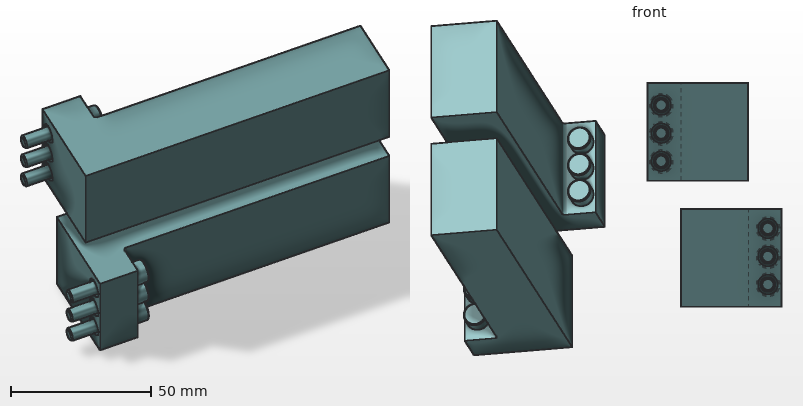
import cadquery as cq

arm_width = 24.0
ledge_width = 12.0
jaw_height = 35.0
jaw_length = 120.0
jaw_gap = 10.0
flange_thickness = 15.0
inner_corner_radius = 1.0

bolts_per_jaw = 3
bolt_spacing = 10.0
bolt_side_distance = 5.0
bolt_row_drop = 0.5

bolt_diameter = 5.0
bolt_protrusion = 10.0
bolt_tip_chamfer = 0.5
head_diameter = 8.5
head_height = 5.0
head_chamfer = 0.4

clearance_diameter = 5.3
counterbore_diameter = 7.0
counterbore_depth = 1.5

flange_left = -arm_width / 2 - ledge_width
arm_right = arm_width / 2
jaw_bottom = jaw_gap / 2
bolt_x = flange_left + bolt_side_distance
bolt_row_middle = jaw_bottom + jaw_height / 2 - bolt_row_drop
bolt_points = [
    (bolt_x, bolt_row_middle + (i - (bolts_per_jaw - 1) / 2) * bolt_spacing)
    for i in range(bolts_per_jaw)
]


def cylinder_along_y(x, z, y_start, y_end, diameter):
    """Cylinder parallel to Y between two Y positions."""
    length = y_end - y_start
    return cq.Workplane(
        cq.Solid.makeCylinder(diameter / 2, length, cq.Vector(x, y_start, z), cq.Vector(0, 1, 0))
    )


def make_jaw():
    """L-shaped upper jaw: a long arm with a bolted flange on its -X side."""
    flange = cq.Workplane().box(arm_right - flange_left, flange_thickness, jaw_height, centered=False)
    flange = flange.translate((flange_left, 0, jaw_bottom))
    arm = cq.Workplane().box(arm_width, jaw_length, jaw_height, centered=False)
    arm = arm.translate((-arm_width / 2, 0, jaw_bottom))
    jaw = flange.union(arm).clean()

    inner_corner = cq.selectors.NearestToPointSelector(
        (-arm_width / 2, flange_thickness, jaw_bottom + jaw_height / 2)
    )
    jaw = jaw.edges("|Z").edges(inner_corner).fillet(inner_corner_radius)

    for x, z in bolt_points:
        jaw = jaw.cut(cylinder_along_y(x, z, 0, flange_thickness, clearance_diameter))
        jaw = jaw.cut(cylinder_along_y(x, z, 0, counterbore_depth, counterbore_diameter))
    return jaw


def make_bolt(x, z):
    """Bolt whose head rests on the rear of the flange and whose tip points to -Y."""
    shank = cylinder_along_y(x, z, -bolt_protrusion, flange_thickness, bolt_diameter)
    shank = shank.faces("<Y").chamfer(bolt_tip_chamfer)
    head = cylinder_along_y(x, z, flange_thickness, flange_thickness + head_height, head_diameter)
    head = head.faces(">Y").edges().chamfer(head_chamfer)
    return shank.union(head)


def half_turn(body):
    """Copy of a body turned half a revolution about the Y axis."""
    return body.rotate((0, 0, 0), (0, 1, 0), 180)


upper_jaw = make_jaw()
lower_jaw = half_turn(upper_jaw)

bolts = []
for x, z in bolt_points:
    bolt = make_bolt(x, z)
    bolts.append(bolt.val())
    bolts.append(half_turn(bolt).val())

result = cq.Compound.makeCompound([upper_jaw.val(), lower_jaw.val(), *bolts])